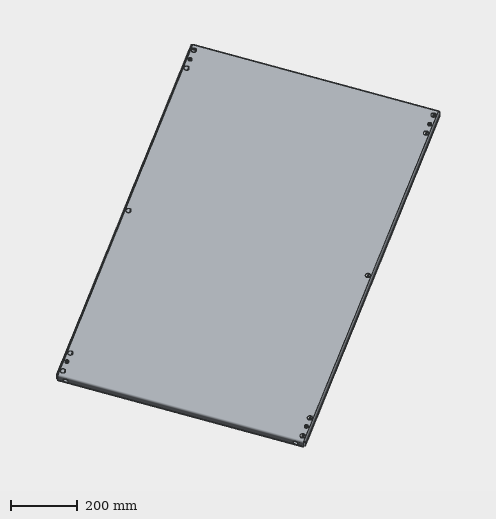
import cadquery as cq

LENGTH = 1288.0
WIDTH = 788.0
TOTAL_HEIGHT = 27.0
PIN_PROJECTION = 1.0
PANEL_HEIGHT = TOTAL_HEIGHT - PIN_PROJECTION

SHEET = 1.5
BEND_RADIUS = 6.2
INNER_RADIUS = BEND_RADIUS - SHEET
LIP_WIDTH = 19.0
UPTURN_HEIGHT = 14.0
SIDE_SETBACK = 4.0
END_FOLD_WIDTH = 777.0

ROW_X = 379.0
CORNER_Y = 622.0
PIN_Y = 586.0
FIXING_Y = 553.0
TOP_HOLE_DIAMETER = 15.0
FIXING_LIP_HOLE_DIAMETER = 6.0
PIN_DIAMETER = 12.0
PIN_BORE = 5.0

END_HOLE_X = 363.0
END_HOLE_Z = 9.7
END_HOLE_DIAMETER = 15.0

SIDES = (-1, 1)
CORNER_PLACES = [(side * ROW_X, end * CORNER_Y) for side in SIDES for end in SIDES]
FIXING_PLACES = [(side * ROW_X, y) for side in SIDES for y in (-FIXING_Y, 0, FIXING_Y)]
PIN_PLACES = [(side * ROW_X, end * PIN_Y) for side in SIDES for end in SIDES]

TOP_SHEET_BOTTOM = PANEL_HEIGHT - SHEET


def block(size_x, size_y, z_bottom, z_top, x=0, y=0):
    """A box centred on (x, y) between two heights."""
    middle = (x, y, (z_bottom + z_top) / 2)
    return cq.Workplane("XY", origin=middle).box(size_x, size_y, z_top - z_bottom)


def sheet_discs(places, diameter, z_bottom):
    """Upright discs as thick as the sheet, used to drill it."""
    plane = cq.Workplane("XY", origin=(0, 0, z_bottom))
    return plane.pushPoints(places).circle(diameter / 2).extrude(SHEET)


def end_envelope(size_x):
    """A full-length block whose top edges are rounded over both ends."""
    return block(size_x, LENGTH, 0, PANEL_HEIGHT).edges("|X and >Z").fillet(BEND_RADIUS)


def make_side_folds():
    """Top sheet, side walls, bottom lips and the upturned edges of the lips."""
    run = LENGTH - 2 * SIDE_SETBACK
    outside = block(WIDTH, run, 0, PANEL_HEIGHT).edges("|Y").fillet(BEND_RADIUS)
    inside = block(WIDTH - 2 * SHEET, run, SHEET, TOP_SHEET_BOTTOM).edges("|Y").fillet(INNER_RADIUS)
    opening = block(WIDTH - 2 * LIP_WIDTH, run, 0, SHEET)
    folds = outside.cut(inside).cut(opening)
    folds = folds.cut(sheet_discs(CORNER_PLACES, TOP_HOLE_DIAMETER, 0))
    folds = folds.cut(sheet_discs(FIXING_PLACES, FIXING_LIP_HOLE_DIAMETER, 0))
    upturn_x = WIDTH / 2 - LIP_WIDTH + SHEET / 2
    for side in SIDES:
        folds = folds.union(block(SHEET, run, 0, UPTURN_HEIGHT, x=side * upturn_x))
    return folds.intersect(end_envelope(WIDTH))


def make_end_folds():
    """Top sheet, end walls and their bottom lips, which fit between the side lips."""
    inside = block(END_FOLD_WIDTH, LENGTH - 2 * SHEET, 0, TOP_SHEET_BOTTOM)
    inside = inside.edges("|X and >Z").fillet(INNER_RADIUS)
    folds = end_envelope(END_FOLD_WIDTH).cut(inside)
    lip_y = (LENGTH - LIP_WIDTH) / 2
    for end in SIDES:
        folds = folds.union(block(WIDTH - 2 * LIP_WIDTH, LIP_WIDTH, 0, SHEET, y=end * lip_y))
    return folds


def end_wall_drills():
    """Two rods along Y that run through both end walls."""
    places = [(side * END_HOLE_X, END_HOLE_Z) for side in SIDES]
    plane = cq.Workplane("XZ").pushPoints(places)
    return plane.circle(END_HOLE_DIAMETER / 2).extrude(LENGTH / 2, both=True)


def make_panel():
    panel = make_side_folds().union(make_end_folds()).clean()
    panel = panel.cut(sheet_discs(CORNER_PLACES + FIXING_PLACES, TOP_HOLE_DIAMETER, TOP_SHEET_BOTTOM))
    panel = panel.cut(sheet_discs(PIN_PLACES, PIN_DIAMETER, TOP_SHEET_BOTTOM))
    return panel.cut(end_wall_drills())


def make_pin(x, y):
    """A bored pin seated in the top sheet and standing a little above it."""
    plane = cq.Workplane("XY", origin=(x, y, TOP_SHEET_BOTTOM))
    ring = plane.circle(PIN_DIAMETER / 2).circle(PIN_BORE / 2)
    return ring.extrude(SHEET + PIN_PROJECTION)


panel = make_panel()
pins = [make_pin(x, y) for x, y in PIN_PLACES]

result = cq.Compound.makeCompound([panel.solids().val(), *[pin.val() for pin in pins]])